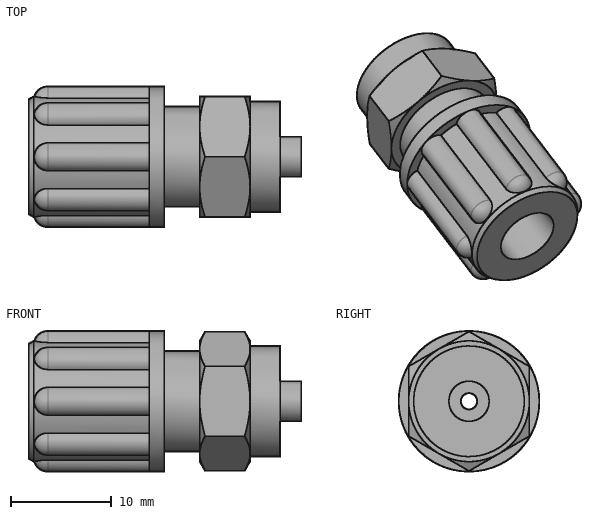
import cadquery as cq
import math

cap_chamfer_length = 0.5
collar_start = 12.0
collar_end = 13.5
hex_start = 17.0
hex_end = 22.0
sleeve_end = 25.0
total_length = 27.1

collar_diameter = 14.0
cap_core_diameter = 12.0
neck_diameter = 10.0
sleeve_diameter = 11.0
tip_diameter = 4.0
hex_across_flats = 12.0

bevel_tangent = math.tan(math.radians(30))

rib_count = 8
rib_radius = 1.4

hose_bore_diameter = 6.0
step_bore_diameter = 4.0
countersink_diameter = 3.4
through_bore_diameter = 1.6
countersink_half_angle = math.radians(60)
hose_bore_depth = collar_end
step_bore_depth = hex_start

front_face = -total_length / 2


def cylinder(start, end, diameter):
    """Solid cylinder on the X axis between two axial stations."""
    plane = cq.Workplane("YZ", origin=(front_face + start, 0, 0))
    return plane.circle(diameter / 2).extrude(end - start)


def cone(start, end, start_diameter, end_diameter):
    """Solid truncated cone on the X axis between two axial stations."""
    return cq.Workplane(obj=cq.Solid.makeCone(
        start_diameter / 2,
        end_diameter / 2,
        end - start,
        pnt=cq.Vector(front_face + start, 0, 0),
        dir=cq.Vector(1, 0, 0),
    ))


def make_rib(angle):
    """Round-ended grip rib, tangent to the collar diameter, at an angle about X."""
    axis_radius = collar_diameter / 2 - rib_radius
    ball_center = front_face + cap_chamfer_length + rib_radius
    shaft_length = front_face + collar_start - ball_center
    shaft = cq.Workplane("YZ", origin=(ball_center, 0, axis_radius)).circle(rib_radius).extrude(shaft_length)
    ball = cq.Workplane("XY", origin=(ball_center, 0, axis_radius)).sphere(rib_radius)
    return shaft.union(ball).rotate((0, 0, 0), (1, 0, 0), angle)


def make_cap():
    """Ribbed union cap with a bevelled open edge and a collar at its inner end."""
    bevel_depth = cap_chamfer_length * bevel_tangent
    bevel = cone(0, cap_chamfer_length, cap_core_diameter - 2 * bevel_depth, cap_core_diameter)
    cap = bevel.union(cylinder(cap_chamfer_length, collar_start, cap_core_diameter))
    cap = cap.union(cylinder(collar_start, collar_end, collar_diameter))
    for index in range(rib_count):
        cap = cap.union(make_rib(index * 360 / rib_count))
    return cap


def make_hex():
    """Hexagon with corners up and down in Z, bevelled at both ends."""
    across_corners = hex_across_flats / math.cos(math.radians(30))
    bevel_length = (across_corners - hex_across_flats) / 2 * bevel_tangent
    prism = (
        cq.Workplane("YZ", origin=(front_face + hex_start, 0, 0))
        .polygon(6, across_corners)
        .extrude(hex_end - hex_start)
        .rotate((0, 0, 0), (1, 0, 0), 90)
    )
    envelope = (
        cone(hex_start, hex_start + bevel_length, hex_across_flats, across_corners)
        .union(cylinder(hex_start + bevel_length, hex_end - bevel_length, across_corners))
        .union(cone(hex_end - bevel_length, hex_end, across_corners, hex_across_flats))
    )
    return prism.intersect(envelope)


def make_body():
    """Neck, hexagon, sleeve and tip."""
    neck = cylinder(collar_end, hex_start, neck_diameter)
    sleeve = cylinder(hex_end, sleeve_end, sleeve_diameter)
    tip = cylinder(sleeve_end, total_length, tip_diameter)
    return neck.union(make_hex()).union(sleeve).union(tip)


def make_bore():
    """Two stepped bores, then a countersunk bore that runs out through the tip."""
    countersink_depth = (countersink_diameter - through_bore_diameter) / 2 / math.tan(countersink_half_angle)
    countersink_end = step_bore_depth + countersink_depth
    hose_bore = cylinder(0, hose_bore_depth, hose_bore_diameter)
    step_bore = cylinder(hose_bore_depth, step_bore_depth, step_bore_diameter)
    countersink = cone(step_bore_depth, countersink_end, countersink_diameter, through_bore_diameter)
    through_bore = cylinder(countersink_end, total_length, through_bore_diameter)
    return hose_bore.union(step_bore).union(countersink).union(through_bore)


result = make_cap().union(make_body()).cut(make_bore())